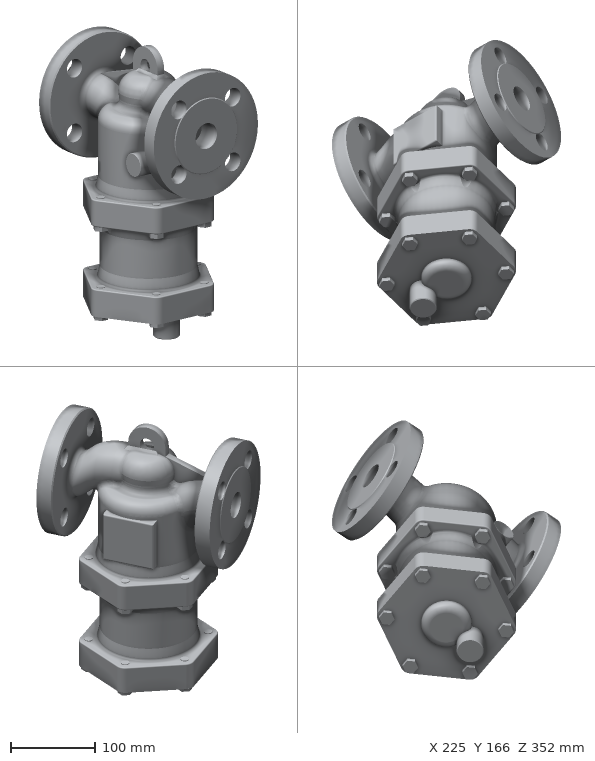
import cadquery as cq
import math


face_to_face = 225.0
flange_dia = 156.0
flange_thickness = 20.0
flange_edge_chamfer = 1.5
raised_face_dia = 94.0
raised_face_height = 1.0
flange_bolt_circle_dia = 114.0
flange_hole_dia = 23.0
flange_hole_count = 4
flange_first_hole_angle = 45.0
port_dia = 32.0
port_depth = 30.0

pipe_radius = 28.0
neck_radius = 5.5
elbow_bend_x = -84.0
elbow_inner_radius = 27.0
outlet_height = 22.5
outlet_bend_start = 36.0
outlet_bend_radius = 60.0
outlet_bend_end = 80.0
outlet_station_count = 5
outlet_blend_radius = 6.0
inlet_blend_radius = 8.0

body_radius = 60.0
shoulder_z = -8.0
shoulder_radius = 16.0
cap_neck_radius = 35.0
cap_neck_z = 20.0
cap_radius = 36.0
cap_rounding = 23.0
cap_top_z = 51.0

barrel_radius = 58.0
flare_width = 2.5
flare_height = 12.0
flare_fillet = 3.0

hex_sides = 6
hex_across_flats = 147.0
hex_corner_radius = 12.0
hex_edge_fillet = 1.5
upper_joint_top = -91.5
upper_joint_bottom = -125.0
lower_joint_top = -203.0
lower_joint_bottom = -237.0

bolt_circle_radius = 71.3
bolt_dia = 10.0
bolt_end_height = 1.0
bolt_head_flats = 16.0
upper_head_height = 6.5
lower_head_height = 5.5
head_clearance_dia = 26.0
head_clearance_depth = 15.0

lug_radius = 24.0
lug_hole_dia = 18.0
lug_center_z = 59.3
lug_thickness = 10.0
rib_thickness = 9.0
rib_start_x = -88.0
rib_start_z = 28.0
rib_end_z = 48.7
lug_foot_height = 4.0
lug_foot_z = 50.0
lug_foot_start_x = -16.0

boss_dia = 29.0
boss_x = 43.5
boss_z = -43.0
boss_end_y = -56.3
boss_chamfer = 0.5
pad_width = 65.0
pad_face_y = 62.7
pad_bottom_z = -73.5
pad_top_z = -12.0
pad_edge_fillet = 2.0

cover_radius = 30.0
cover_fillet = 10.0
cover_bottom_z = -249.0
drain_dia = 32.0
drain_x = 35.0
drain_chamfer = 1.0
overall_height = 351.97

half_length = face_to_face / 2
flange_back_x = half_length - raised_face_height - flange_thickness
neck_start_x = flange_back_x - neck_radius
lug_top_z = lug_center_z + lug_radius
drain_bottom_z = lug_top_z - overall_height


def cylinder_z(x, y, radius, z_bottom, z_top):
    return cq.Workplane("XY", origin=(x, y, z_bottom)).circle(radius).extrude(z_top - z_bottom)


def make_flange():
    """Flange on the +X side with its neck fillet and raised face."""
    flange_radius = flange_dia / 2
    face_x = half_length - raised_face_height
    raised_radius = raised_face_dia / 2
    arc_offset = neck_radius * (1 - math.sqrt(0.5))
    return (
        cq.Workplane("XY")
        .moveTo(neck_start_x, 0)
        .lineTo(neck_start_x, pipe_radius)
        .threePointArc(
            (flange_back_x - arc_offset, pipe_radius + arc_offset),
            (flange_back_x, pipe_radius + neck_radius),
        )
        .lineTo(flange_back_x, flange_radius - flange_edge_chamfer)
        .lineTo(flange_back_x + flange_edge_chamfer, flange_radius)
        .lineTo(face_x, flange_radius)
        .lineTo(face_x, raised_radius)
        .lineTo(half_length, raised_radius - raised_face_height)
        .lineTo(half_length, 0)
        .close()
        .revolve(360, (0, 0, 0), (1, 0, 0))
    )


def make_flange_cuts():
    """Bolt holes and blind port of the +X flange."""
    holes = (
        cq.Workplane("YZ", origin=(flange_back_x, 0, 0))
        .polarArray(flange_bolt_circle_dia / 2, flange_first_hole_angle, 360, flange_hole_count)
        .circle(flange_hole_dia / 2)
        .extrude(flange_thickness)
    )
    port = (
        cq.Workplane("YZ", origin=(half_length - port_depth, 0, 0))
        .circle(port_dia / 2)
        .extrude(port_depth)
    )
    return holes.union(port)


def make_inlet():
    """Quarter-turn elbow that meets the body wall from inside."""
    axis_radius = elbow_inner_radius + pipe_radius
    path = (
        cq.Workplane("XZ")
        .moveTo(-neck_start_x, 0)
        .lineTo(elbow_bend_x, 0)
        .radiusArc((elbow_bend_x + axis_radius, -axis_radius), axis_radius)
    )
    return cq.Workplane("YZ", origin=(-neck_start_x, 0, 0)).circle(pipe_radius).sweep(path)


def make_outlet():
    """Drooping outlet: upright circles of one size, lofted along the bend."""
    straight = (
        cq.Workplane("YZ", origin=(0, 0, outlet_height)).circle(pipe_radius).extrude(outlet_bend_start)
    )
    stations = []
    for i in range(outlet_station_count):
        run = (outlet_bend_end - outlet_bend_start) * i / (outlet_station_count - 1)
        drop = outlet_bend_radius - math.sqrt(outlet_bend_radius**2 - run**2)
        stations.append((outlet_bend_start + run, outlet_height - drop))
    stations.append((neck_start_x, 0))
    wires = [
        cq.Wire.makeCircle(pipe_radius, cq.Vector(x, 0, z), cq.Vector(1, 0, 0)) for x, z in stations
    ]
    return straight.union(cq.Workplane(cq.Solid.makeLoft(wires)))


def make_upper_body():
    """Body, shoulder and domed cap as one turned shape."""
    diagonal = math.sqrt(0.5)
    shoulder_inner = body_radius - shoulder_radius
    shoulder_top = shoulder_z + shoulder_radius
    hollow = shoulder_inner - cap_neck_radius
    cap_center_r = cap_radius - cap_rounding
    cap_center_z = cap_top_z - cap_rounding
    flare_bottom = upper_joint_top + flare_fillet
    return (
        cq.Workplane("XZ")
        .moveTo(0, upper_joint_top)
        .lineTo(body_radius + flare_width + flare_fillet, upper_joint_top)
        .radiusArc((body_radius + flare_width, flare_bottom), flare_fillet)
        .lineTo(body_radius, flare_bottom + flare_height)
        .lineTo(body_radius, shoulder_z)
        .threePointArc(
            (shoulder_inner + shoulder_radius * diagonal, shoulder_z + shoulder_radius * diagonal),
            (shoulder_inner, shoulder_top),
        )
        .radiusArc((cap_neck_radius, shoulder_top + hollow), hollow)
        .lineTo(cap_neck_radius, cap_neck_z)
        .lineTo(cap_radius, cap_center_z)
        .threePointArc(
            (cap_center_r + cap_rounding * diagonal, cap_center_z + cap_rounding * diagonal),
            (cap_center_r, cap_top_z),
        )
        .lineTo(0, cap_top_z)
        .close()
        .revolve(360, (0, 0, 0), (0, 1, 0))
    )


def make_barrel():
    """Barrel between the two joints, flared at both ends."""
    foot_radius = barrel_radius + flare_width
    upper_foot = upper_joint_bottom - flare_fillet
    lower_foot = lower_joint_top + flare_fillet
    return (
        cq.Workplane("XZ")
        .moveTo(0, lower_joint_top)
        .lineTo(foot_radius + flare_fillet, lower_joint_top)
        .radiusArc((foot_radius, lower_foot), flare_fillet)
        .lineTo(barrel_radius, lower_foot + flare_height)
        .lineTo(barrel_radius, upper_foot - flare_height)
        .lineTo(foot_radius, upper_foot)
        .radiusArc((foot_radius + flare_fillet, upper_joint_bottom), flare_fillet)
        .lineTo(0, upper_joint_bottom)
        .close()
        .revolve(360, (0, 0, 0), (0, 1, 0))
    )


def bolt_positions():
    """Bolt centers, one at each corner of the hexagon."""
    angles = [math.radians(90 + 360 * i / hex_sides) for i in range(hex_sides)]
    return [(bolt_circle_radius * math.cos(a), bolt_circle_radius * math.sin(a)) for a in angles]


def hex_prism(flats, z_bottom, z_top):
    """Hexagonal prism with corners on the Y axis."""
    corner_dia = flats / math.cos(math.pi / hex_sides)
    return (
        cq.Workplane("XY", origin=(0, 0, z_bottom))
        .transformed(rotate=(0, 0, 90))
        .polygon(hex_sides, corner_dia)
        .extrude(z_top - z_bottom)
    )


def make_joint(z_bottom, z_top, rounded_edges):
    plate = hex_prism(hex_across_flats, z_bottom, z_top)
    plate = plate.edges("|Z").fillet(hex_corner_radius)
    return plate.faces(rounded_edges).edges().fillet(hex_edge_fillet)


def make_bolts(z_bottom, z_top, head_height):
    """Bolt ends above a joint and hexagon heads below it."""
    ends = (
        cq.Workplane("XY", origin=(0, 0, z_top))
        .pushPoints(bolt_positions())
        .circle(bolt_dia / 2)
        .extrude(bolt_end_height)
    )
    head = hex_prism(bolt_head_flats, z_bottom - head_height, z_bottom)
    for x, y in bolt_positions():
        ends = ends.union(head.translate((x, y, 0)))
    return ends


def make_head_clearance():
    """Pockets in the barrel flare around the upper bolt heads."""
    return (
        cq.Workplane("XY", origin=(0, 0, upper_joint_bottom - head_clearance_depth))
        .pushPoints(bolt_positions())
        .circle(head_clearance_dia / 2)
        .extrude(head_clearance_depth)
    )


def make_lug():
    """Lifting eye on a stem, with a tapered foot where it stands on the cap."""
    eye = (
        cq.Workplane("XZ", origin=(0, lug_thickness / 2, lug_center_z))
        .circle(lug_radius)
        .extrude(lug_thickness)
    )
    stem_bottom = outlet_height
    stem = cq.Workplane("XY").box(
        2 * lug_radius, lug_thickness, lug_center_z - stem_bottom, centered=(True, True, False)
    )
    foot_length = lug_radius + lug_foot_height - lug_foot_start_x
    foot = (
        cq.Workplane("XY", origin=(lug_foot_start_x + foot_length / 2, 0, lug_foot_z))
        .rect(foot_length, lug_thickness + 2 * lug_foot_height)
        .extrude(lug_foot_height, taper=45)
    )
    hole = (
        cq.Workplane("XZ", origin=(0, lug_thickness / 2, lug_center_z))
        .circle(lug_hole_dia / 2)
        .extrude(lug_thickness)
    )
    return eye.union(stem.translate((0, 0, stem_bottom))).union(foot).cut(hole)


def make_rib():
    """Sloping web from the inlet flange up to the lifting eye."""
    return (
        cq.Workplane("XZ", origin=(0, rib_thickness / 2, 0))
        .moveTo(rib_start_x, rib_start_z)
        .lineTo(-lug_radius, rib_end_z)
        .lineTo(0, rib_end_z)
        .lineTo(0, 0)
        .lineTo(rib_start_x, 0)
        .close()
        .extrude(rib_thickness)
    )


def make_side_boss():
    """Round boss on the front of the body, pointing along -Y."""
    boss = (
        cq.Workplane("XZ", origin=(boss_x, 0, boss_z)).circle(boss_dia / 2).extrude(-boss_end_y)
    )
    return boss.faces("<Y").chamfer(boss_chamfer)


def make_rear_pad():
    """Flat pad on the +Y side with a rounded face edge."""
    pad = cq.Workplane("XY", origin=(0, 0, pad_bottom_z)).box(
        pad_width, pad_face_y, pad_top_z - pad_bottom_z, centered=(True, False, False)
    )
    return pad.faces(">Y").edges().fillet(pad_edge_fillet)


def make_cover():
    """Round cover under the lower joint with the offset drain stub."""
    cover = cylinder_z(0, 0, cover_radius, cover_bottom_z, lower_joint_bottom)
    cover = cover.faces("<Z").edges().fillet(cover_fillet)
    drain = cylinder_z(drain_x, 0, drain_dia / 2, drain_bottom_z, lower_joint_bottom)
    return cover.union(drain.faces("<Z").chamfer(drain_chamfer))


def make_casing():
    """Turned body with the inlet and outlet blended into it."""
    casing = make_upper_body().union(make_inlet())
    casing = casing.edges("%BSPLINE").fillet(inlet_blend_radius)
    casing = casing.union(make_outlet())
    seam_region = cq.selectors.BoxSelector(
        (0, -body_radius, shoulder_z - pipe_radius),
        (neck_start_x - pipe_radius / 2, body_radius, cap_top_z),
        boundingbox=True,
    )
    return casing.edges("%BSPLINE").edges(seam_region).fillet(outlet_blend_radius)


def add_joint(part, z_bottom, z_top, rounded_edges, head_height):
    part = part.union(make_joint(z_bottom, z_top, rounded_edges), clean=False)
    return part.union(make_bolts(z_bottom, z_top, head_height), clean=False)


result = make_casing()
for feature in (make_rib(), make_lug(), make_side_boss(), make_rear_pad(), make_barrel(), make_cover()):
    result = result.union(feature, clean=False)
result = result.cut(make_head_clearance(), clean=False)
result = add_joint(result, upper_joint_bottom, upper_joint_top, "<Z or >Z", upper_head_height)
result = add_joint(result, lower_joint_bottom, lower_joint_top, ">Z", lower_head_height)
flange = make_flange()
flange_cuts = make_flange_cuts()
for turn in (0, 180):
    result = result.union(flange.rotate((0, 0, 0), (0, 0, 1), turn), clean=False)
    result = result.cut(flange_cuts.rotate((0, 0, 0), (0, 0, 1), turn), clean=False)